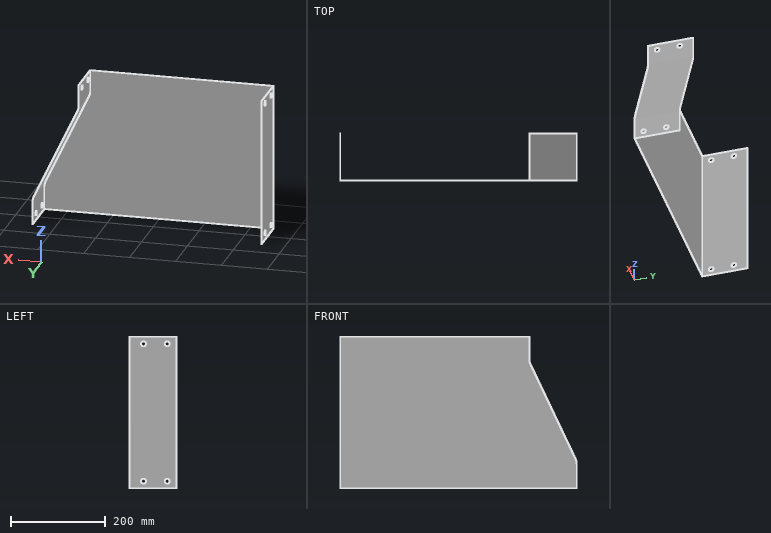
import cadquery as cq
import math

length = 500.0
depth = 100.0
height = 320.0
sheet = 0.8

top_length = 400.0
upper_corner_height = 267.0
lower_corner_height = 57.0
upper_fold_radius = 20.0
lower_fold_radius = 30.0

hole_diameter = 10.0
hole_offsets = (20.0, 70.0)
hole_edge_distance = 15.0
hole_heights = (hole_edge_distance, height - hole_edge_distance)

slope_angle = math.atan2(length - top_length, upper_corner_height - lower_corner_height)


def outline_prism(inset, y_start, y_end):
    """Prism of the stepped outline, with both ends drawn in by the inset."""
    corner_drop = inset * math.tan(slope_angle / 2)
    left = inset
    top_right = top_length - inset
    bottom_right = length - inset
    upper_corner = upper_corner_height - corner_drop
    lower_corner = lower_corner_height - corner_drop

    prism = (
        cq.Workplane("XZ", origin=(0, y_start, 0))
        .moveTo(left, 0)
        .lineTo(bottom_right, 0)
        .lineTo(bottom_right, lower_corner)
        .lineTo(top_right, upper_corner)
        .lineTo(top_right, height)
        .lineTo(left, height)
        .close()
        .extrude(-(y_end - y_start))
    )
    prism = fold(prism, bottom_right, lower_corner, lower_fold_radius - inset)
    return fold(prism, top_right, upper_corner, upper_fold_radius + inset)


def fold(prism, x, z, radius):
    """Round the prism edge that runs along Y through the given corner."""
    corner_edge = cq.selectors.BoxSelector(
        (x - sheet, 0, z - sheet), (x + sheet, depth, z + sheet)
    )
    return prism.edges(corner_edge).fillet(radius)


def channel():
    """Front plate with a plain left flange and a folded right flange."""
    return outline_prism(0, 0, depth).cut(outline_prism(sheet, sheet, depth))


def mounting_holes():
    """Bores along X that pass through both flanges."""
    centres = [(y, z) for y in hole_offsets for z in hole_heights]
    return cq.Workplane("YZ").pushPoints(centres).circle(hole_diameter / 2).extrude(length)


result = channel().cut(mounting_holes())